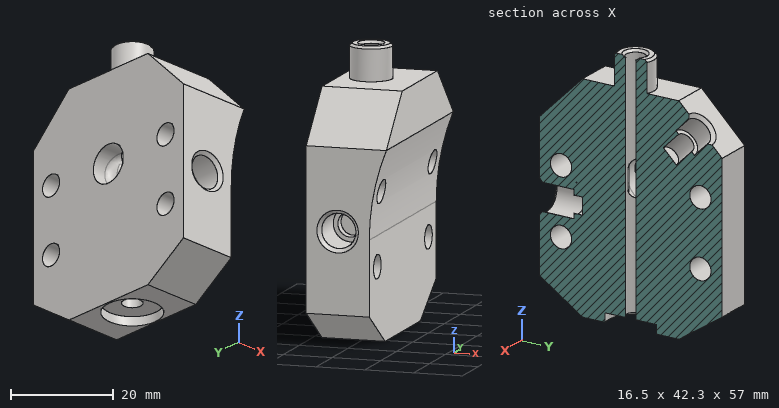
import cadquery as cq
import math

width = 42.3
height = 50.0
end_width = 22.3
top_clip = (width - end_width) / 2
bottom_clip = 6.7

thickness = 13.0
lip_thickness = 16.5
scoop_start_z = 22.0
scoop_end_z = height - top_clip
bore_x = thickness / 2

spigot_diameter = 8.5
spigot_height = 7.0
spigot_chamfer = 0.5
passage_diameter = 4.2
passage_mouth_diameter = 5.3
bottom_seat_diameter = 12.3
bottom_seat_depth = 2.0

recess_diameter = 8.4
recess_z = 30.0
recess_depth = 5.0
recess_lip_radius = 1.0
recess_corner_radius = 2.0

mount_diameter = 4.8
mount_y = 16.1
mount_heights = (15.8, 30.8)

side_port_z = 23.3
side_mouth_diameter = 8.5
side_port_diameter = 7.0
side_port_depth = 8.0
side_pilot_diameter = 5.1
side_pilot_depth = 10.0

angled_mouth_diameter = 7.5
angled_port_diameter = 6.0
angled_port_depth = 5.0
angled_pilot_diameter = 4.2
angled_pilot_depth = 10.0

SELECT_MARGIN = 0.01


def cylinder(diameter, length, origin, direction):
    solid = cq.Solid.makeCylinder(diameter / 2, length, cq.Vector(*origin), cq.Vector(*direction))
    return cq.Workplane(solid)


def chamfered_bore(mouth_diameter, diameter, depth, origin, direction):
    """Round bore with a 45 degree chamfer at its mouth."""
    mouth_depth = (mouth_diameter - diameter) / 2
    mouth = cq.Solid.makeCone(
        mouth_diameter / 2, diameter / 2, mouth_depth, cq.Vector(*origin), cq.Vector(*direction)
    )
    return cylinder(diameter, depth, origin, direction).union(cq.Workplane(mouth))


def clipped_outline():
    """Rectangle in YZ with all four corners clipped, as thick as the top of the plate."""
    half = width / 2
    half_end = end_width / 2
    points = [
        (-half_end, 0),
        (half_end, 0),
        (half, bottom_clip),
        (half, height - top_clip),
        (half_end, height),
        (-half_end, height),
        (-half, height - top_clip),
        (-half, bottom_clip),
    ]
    return cq.Workplane("YZ").polyline(points).close().extrude(lip_thickness)


def side_profile():
    """XZ profile whose back curves out in an arc tangent to the thin lower part."""
    rise = scoop_end_z - scoop_start_z
    step = lip_thickness - thickness
    radius = (rise**2 + step**2) / (2 * step)
    half_angle = math.asin(rise / radius) / 2
    arc_middle = (
        thickness + radius * (1 - math.cos(half_angle)),
        scoop_start_z + radius * math.sin(half_angle),
    )
    return (
        cq.Workplane("XZ")
        .lineTo(thickness, 0)
        .lineTo(thickness, scoop_start_z)
        .threePointArc(arc_middle, (lip_thickness, scoop_end_z))
        .lineTo(lip_thickness, height)
        .lineTo(0, height)
        .close()
        .extrude(width / 2, both=True)
    )


def spigot():
    post = cylinder(spigot_diameter, spigot_height, (bore_x, 0, height), (0, 0, 1))
    return post.faces(">Z").chamfer(spigot_chamfer)


def vertical_bore():
    """Through passage, chamfered at the spigot tip, with a round seat in the bottom face."""
    top = height + spigot_height
    passage = chamfered_bore(passage_mouth_diameter, passage_diameter, top, (bore_x, 0, top), (0, 0, -1))
    seat = cylinder(bottom_seat_diameter, bottom_seat_depth, (bore_x, 0, 0), (0, 0, 1))
    return passage.union(seat)


def add_recess(body):
    """Cut the recess, then round the lips at the vertical bore and the floor corners."""
    body = body.cut(cylinder(recess_diameter, recess_depth, (0, 0, recess_z), (1, 0, 0)))
    floor_edges = cq.selectors.BoxSelector(
        (recess_depth - SELECT_MARGIN, -recess_diameter, recess_z - recess_diameter),
        (recess_depth + SELECT_MARGIN, recess_diameter, recess_z + recess_diameter),
        boundingbox=True,
    )
    body = body.edges(floor_edges).edges("|Z").fillet(recess_lip_radius)
    return body.edges(floor_edges).edges("%CIRCLE").fillet(recess_corner_radius)


def mounting_holes():
    centers = [(y, z) for y in (-mount_y, mount_y) for z in mount_heights]
    return cq.Workplane("YZ").pushPoints(centers).circle(mount_diameter / 2).extrude(lip_thickness)


def side_port():
    origin = (bore_x, -width / 2, side_port_z)
    inward = (0, 1, 0)
    port = chamfered_bore(side_mouth_diameter, side_port_diameter, side_port_depth, origin, inward)
    return port.union(cylinder(side_pilot_diameter, side_pilot_depth, origin, inward))


def angled_port():
    origin = (lip_thickness / 2, (width + end_width) / 4, height - top_clip / 2)
    inward = (0, -1, -1)
    port = chamfered_bore(angled_mouth_diameter, angled_port_diameter, angled_port_depth, origin, inward)
    return port.union(cylinder(angled_pilot_diameter, angled_pilot_depth, origin, inward))


plate = clipped_outline().intersect(side_profile())
bored_plate = plate.union(spigot()).cut(vertical_bore())
result = add_recess(bored_plate).cut(mounting_holes()).cut(side_port()).cut(angled_port())